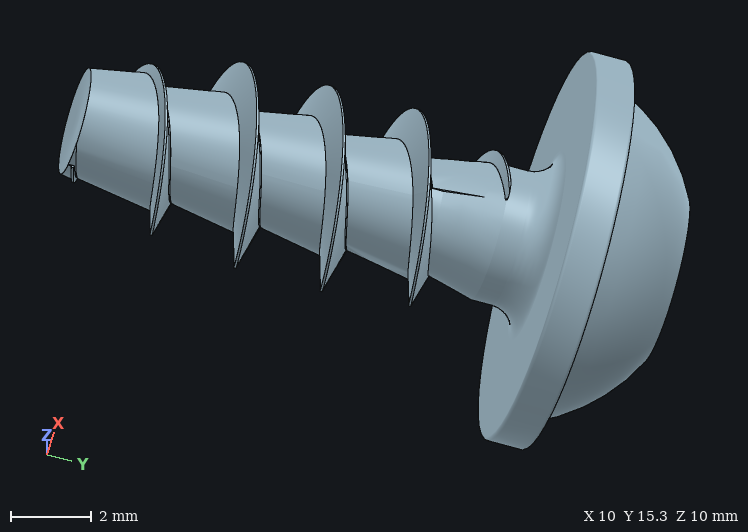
import cadquery as cq
import math


flange_radius = 5.0
flange_thickness = 1.0
flange_edge_round = 0.08
head_height = 3.3
dome_base_radius = 4.27
dome_top_radius = 2.15

shank_length = 12.0
neck_radius = 1.73
neck_fillet = 0.7
neck_end_y = -1.25
neck_taper = 0.25
core_radius = 1.345
tip_dimple_radius = 1.22
tip_dimple_depth = 0.08
tip_y = -shank_length

pitch = 2.24
crest_radius = 2.5
crest_half_width = 0.03
flank_slope = math.tan(math.radians(15))
root_slope = math.tan(math.radians(10))
root_end_radius = core_radius + 0.02
flank_end_radius = core_radius - 0.06
first_crest_y = -1.39
start_angle = -math.pi / 6
run_in_crest_radius = 1.97
run_in_slope = (crest_radius - run_in_crest_radius) / pitch
run_out_length = 1.5 * pitch
run_out_slope = (crest_radius - root_end_radius) / run_out_length
end_clearance = 0.12
turn_gap = 0.02
thread_inner_radius = 0.8
longest_patch_angle = 2 * math.pi
points_per_patch = 24


def make_body():
    """Head, neck and plain core as one revolved outline."""
    dome_centre_y = (
        head_height**2 + dome_top_radius**2 - flange_thickness**2 - dome_base_radius**2
    ) / (2 * (head_height - flange_thickness))
    dome_radius = math.hypot(dome_base_radius, flange_thickness - dome_centre_y)
    dome_mid_y = (flange_thickness + head_height) / 2
    dome_mid_radius = math.sqrt(dome_radius**2 - (dome_mid_y - dome_centre_y) ** 2)

    fillet_reach = neck_fillet * (1 - math.sqrt(0.5))
    neck_taper_end_y = neck_end_y - (neck_radius - core_radius) / neck_taper
    top_round_y = flange_thickness - flange_edge_round
    round_start_radius = flange_radius - flange_edge_round
    outline = (
        cq.Workplane("XY")
        .moveTo(0, head_height)
        .lineTo(dome_top_radius, head_height)
        .threePointArc((dome_mid_radius, dome_mid_y), (dome_base_radius, flange_thickness))
        .lineTo(round_start_radius, flange_thickness)
        .tangentArcPoint((flange_radius, top_round_y), relative=False)
        .lineTo(flange_radius, flange_edge_round)
        .tangentArcPoint((round_start_radius, 0), relative=False)
        .lineTo(neck_radius + neck_fillet, 0)
        .threePointArc((neck_radius + fillet_reach, -fillet_reach), (neck_radius, -neck_fillet))
        .lineTo(neck_radius, neck_end_y)
        .lineTo(core_radius, neck_taper_end_y)
        .lineTo(core_radius, tip_y)
        .lineTo(tip_dimple_radius, tip_y)
        .lineTo(0, tip_y + tip_dimple_depth)
        .close()
    )
    return outline.revolve(360, (0, 0, 0), (0, 1, 0))


def crest_radius_at(crest_y):
    """Crest radius, growing below the neck and fading out towards the tip."""
    run_in = run_in_crest_radius + run_in_slope * (first_crest_y - crest_y)
    run_out = root_end_radius + run_out_slope * (crest_y - tip_y)
    return min(crest_radius, run_in, run_out)


def flank_half_width(crest):
    """Axial distance from the crest centre to where a flank of this crest radius ends."""
    return crest_half_width + (crest - flank_end_radius) * flank_slope


def thread_section(crest_y):
    """Corners (radius, y) of the thread section whose crest is at crest_y."""
    crest = crest_radius_at(crest_y)
    upper_flank_y = crest_y + flank_half_width(crest)

    full_root_radius = root_end_radius + root_slope * (pitch - flank_half_width(crest_radius))
    tip_cone = root_end_radius + root_slope * (crest_y - tip_y)
    root_at_crest = min(full_root_radius, tip_cone)
    next_crest = max(crest_radius_at(crest_y - pitch), root_end_radius)
    root_drop = pitch - flank_half_width(next_crest) - turn_gap
    root_end = min(root_end_radius, tip_cone - root_slope * root_drop)
    local_root_slope = (root_at_crest - root_end) / root_drop

    lower_flank_drop = (crest - root_at_crest + crest_half_width / flank_slope) / (
        1 / flank_slope - local_root_slope
    )
    return [
        (thread_inner_radius, upper_flank_y),
        (flank_end_radius, upper_flank_y),
        (crest, crest_y + crest_half_width),
        (crest, crest_y - crest_half_width),
        (root_at_crest - local_root_slope * lower_flank_drop, crest_y - lower_flank_drop),
        (root_end, crest_y - root_drop),
        (thread_inner_radius, crest_y - root_drop),
    ]


def thread_corners(angle):
    """Section corners in space where the thread has turned by angle from +X towards +Z."""
    section = thread_section(first_crest_y - pitch * angle / (2 * math.pi))
    return [cq.Vector(r * math.cos(angle), y, r * math.sin(angle)) for r, y in section]


def make_thread():
    """Thread and tapering root: ruled faces between the helical paths of the section corners."""
    end_angle = 2 * math.pi * (first_crest_y - tip_y - end_clearance) / pitch
    patch_count = math.ceil((end_angle - start_angle) / longest_patch_angle)
    patch_angle = (end_angle - start_angle) / patch_count

    faces = []
    for patch in range(patch_count):
        angles = [
            start_angle + patch_angle * (patch + step / points_per_patch)
            for step in range(points_per_patch + 1)
        ]
        sections = [thread_corners(angle) for angle in angles]
        edges = [cq.Edge.makeSpline(list(path)) for path in zip(*sections)]
        for edge, next_edge in zip(edges, edges[1:] + edges[:1]):
            faces.append(cq.Face.makeRuledSurface(edge, next_edge))
    for angle in (start_angle, end_angle):
        cap_outline = cq.Wire.makePolygon(thread_corners(angle), close=True)
        faces.append(cq.Face.makeFromWires(cap_outline))
    thread = cq.Solid.makeSolid(cq.Shell.makeShell(faces))

    shank_axis = (cq.Vector(0, tip_y, 0), cq.Vector(0, 1, 0))
    threaded_zone = cq.Solid.makeCylinder(flange_radius, neck_end_y - tip_y, *shank_axis)
    dimple = cq.Solid.makeCone(tip_dimple_radius, 0, tip_dimple_depth, *shank_axis)
    return cq.Workplane(obj=thread.intersect(threaded_zone).cut(dimple))


result = make_body().union(make_thread())